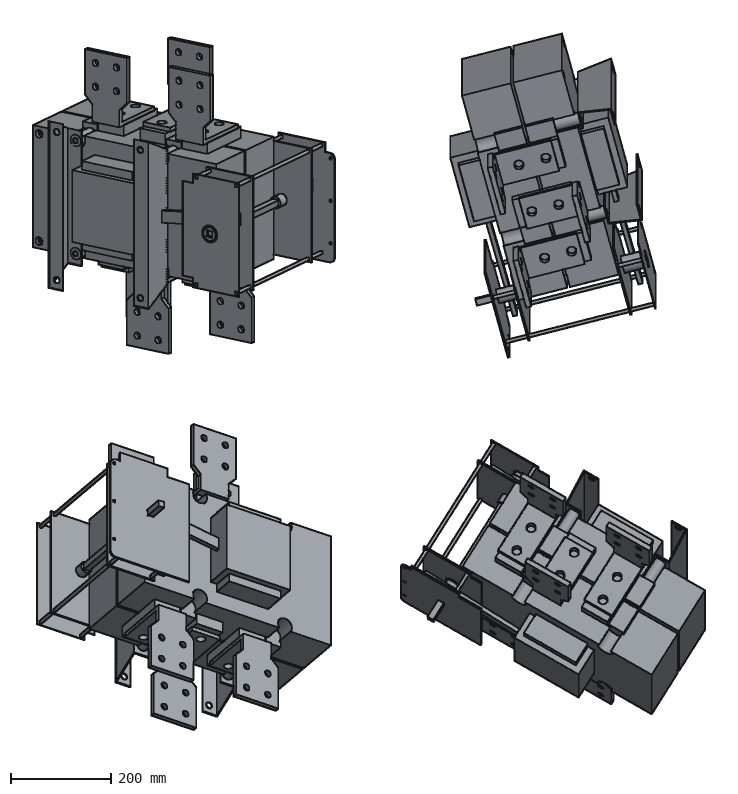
import cadquery as cq
import math


pole_pitch = 100.0
pole_xs = [-pole_pitch, 0, pole_pitch]

case_left = -258.5
case_right = 181.0
case_half_height = 128.5
case_half_depth = 103.0
half_gap = 2.7

corner_hole_inset = 14.5
corner_hole_z = 113.0
screw_head_diameter = 16.0
screw_head_depth = 9.0
screw_hole_diameter = 7.0
screw_hole_depth = 24.0

coil_x = -pole_pitch / 2
coil_width = 149.5
coil_height = 151.0
coil_reach = 163.0
core_width = 120.5
core_height = 187.0
core_reach = 149.5

terminal_top = 301.5
terminal_width = 100.0
terminal_neck_width = 65.0
terminal_shoulder_z = 206.0
terminal_thickness = 10.0
terminal_foot_z = 152.5
terminal_foot_thickness = 9.0
terminal_face_y = 79.0
terminal_foot_end_y = 46.5
busbar_hole_diameter = 13.0
busbar_hole_spacing = 50.0
busbar_hole_z = 252.0
bolt_hole_diameter = 18.5
bolt_hole_y = 28.0
bolt_hole_depth = 18.0

block_width = 60.0
block_half_depth = 60.0

post_xs = [-1.5 * pole_pitch, 0.5 * pole_pitch]
post_z = 119.0
post_diameter = 25.0
post_groove_diameter = 33.0
tile_width = 35.0
tile_top = 141.0

bracket_web_offset = 120.0
bracket_flange = 35.0
bracket_thickness = 2.5
bracket_back_y = -111.5
bracket_front_y = -181.0
bracket_back_half_height = 141.0
bracket_front_half_height = 175.5
bracket_hole_z = 155.5
bracket_hole_diameter = 13.0
post_screw_diameter = 11.0

panel_left = 135.0
panel_right = 270.0
panel_step_x = 159.0
panel_half_height = 119.5
panel_step_half_height = 99.5
panel_thickness = 3.5
cover_front_y = -156.0
cover_thickness = 2.0
cover_hole_diameter = 35.0

back_plate_left = 108.0
back_plate_right = 293.0
back_plate_bottom = -130.0
back_plate_front_y = 151.0
back_plate_corner_radius = 12.0
back_plate_hole_diameter = 5.5
back_plate_hole_x = 284.5
back_plate_hole_spacing = 89.0

rod_diameter = 7.0
rod_z = 113.0
long_rod_x = 262.0
short_rod_x = 167.0
rod_spacer_diameter = 16.0

lever_height = 25.5
lever_thickness = 9.0
lever_y = 129.0
lever_pivot_x = 32.0
lever_end_x = 253.0
lever_angle = math.radians(8.4)

shaft_x = 199.5
shaft_side = 13.0
shaft_twist = 5.0
shaft_back_y = 195.5
shaft_recess = 6.0
hub_diameter = 29.0
collar_diameter = 35.0
sleeve_diameter = 25.0
front_collar_end_y = -146.5
front_sleeve_end_y = -84.0
back_sleeve_end_y = 80.0
back_collar_thickness = 2.0


def block(x0, x1, y0, y1, z0, z1):
    """Rectangular block between the given limits."""
    return cq.Workplane("XY").box(x1 - x0, y1 - y0, z1 - z0, centered=False).translate((x0, y0, z0))


def rod(x, z, diameter, y0, y1):
    """Cylinder along Y between y0 and y1."""
    return cq.Workplane("XZ", origin=(x, y0, z)).circle(diameter / 2).extrude(y0 - y1)


def plate(points, y0, y1):
    """Flat plate with an outline in X and Z, between y0 and y1."""
    return cq.Workplane("XZ", origin=(0, y0, 0)).polyline(points).close().extrude(y0 - y1)


def corner_screw_hole(z):
    """Counterbored screw hole in the front face of the case."""
    x = case_left + corner_hole_inset
    face = -case_half_depth
    head = rod(x, z, screw_head_diameter, face, face + screw_head_depth)
    return head.union(rod(x, z, screw_hole_diameter, face, face + screw_hole_depth))


def split_bar(x, width, reach, height):
    """Bar on the Y and Z origins, in two pieces with the gap of the case between them."""
    x0, x1 = x - width / 2, x + width / 2
    front = block(x0, x1, -reach, -half_gap, -height / 2, height / 2)
    return front.union(front.mirror("XZ"))


def terminal_blade(x):
    """Upright part of a terminal, with its four busbar holes."""
    neck = terminal_neck_width / 2
    wide = terminal_width / 2
    neck_z = terminal_shoulder_z - (wide - neck)
    right_side = [(neck, terminal_foot_z), (neck, neck_z), (wide, terminal_shoulder_z), (wide, terminal_top)]
    outline = right_side + [(-px, pz) for px, pz in reversed(right_side)]
    blade = plate(outline, -terminal_face_y, -terminal_face_y + terminal_thickness)
    blade = blade.translate((x, 0, 0))
    for side in (-1, 1):
        for level in (-1, 1):
            hole_x = x + side * busbar_hole_spacing / 2
            hole_z = busbar_hole_z + level * busbar_hole_spacing / 2
            blade = blade.cut(rod(hole_x, hole_z, busbar_hole_diameter, -terminal_face_y, 0))
    return blade


def terminal(x, blade_at_back):
    """Terminal block with its L-shaped terminal, above the case at one pole."""
    neck = terminal_neck_width / 2
    foot_top = terminal_foot_z + terminal_foot_thickness
    foot = block(x - neck, x + neck, -terminal_face_y, terminal_foot_end_y, terminal_foot_z, foot_top)
    angle = terminal_blade(x).union(foot)
    if blade_at_back:
        angle = angle.mirror("XZ")
    base = block(
        x - block_width / 2, x + block_width / 2,
        -block_half_depth, block_half_depth,
        case_half_height, terminal_foot_z,
    )
    bolt_holes = (
        cq.Workplane("XY", origin=(x, 0, foot_top))
        .pushPoints([(0, -bolt_hole_y), (0, bolt_hole_y)])
        .circle(bolt_hole_diameter / 2)
        .extrude(-bolt_hole_depth)
    )
    return base.union(angle).cut(bolt_holes)


def clamp_tiles(x):
    """Pair of tiles on the top and the bottom of the case at one post, split at the gap."""
    return split_bar(x, tile_width, block_half_depth, 2 * tile_top)


def post_groove(x, z):
    """Round groove along the case edge, in front of and behind the clamp tiles."""
    front = rod(x, z, post_groove_diameter, -case_half_depth, -block_half_depth)
    return front.union(rod(x, z, post_groove_diameter, block_half_depth, case_half_depth))


def post(x, z):
    """Bracket post in the front groove, and the spacer in line with it between the case halves."""
    spacer = rod(x, z, post_groove_diameter, -half_gap, half_gap)
    return rod(x, z, post_diameter, bracket_back_y, -block_half_depth).union(spacer)


def bracket(x_side):
    """Channel with a tapered web on the outer side; x_side is -1 for left and 1 for right."""
    web_x = coil_x + x_side * bracket_web_offset
    flange_x = web_x - x_side * bracket_flange
    x0, x1 = sorted((web_x, flange_x))
    profile = [
        (bracket_back_y, -bracket_back_half_height),
        (bracket_back_y, bracket_back_half_height),
        (bracket_front_y, bracket_front_half_height),
        (bracket_front_y, -bracket_front_half_height),
    ]
    channel = cq.Workplane("YZ", origin=(x0, 0, 0)).polyline(profile).close().extrude(x1 - x0)
    hollow = block(
        x0, x1,
        bracket_front_y + bracket_thickness, bracket_back_y - bracket_thickness,
        -bracket_front_half_height, bracket_front_half_height,
    )
    return channel.cut(hollow.translate((-x_side * bracket_thickness, 0, 0)))


def bracket_holes(x):
    """Mounting holes in the front flange and post screw holes in the back flange."""
    front_end = bracket_front_y + bracket_thickness
    back_start = bracket_back_y - bracket_thickness
    holes = cq.Workplane("XY")
    for side in (-1, 1):
        holes = holes.add(rod(x, side * bracket_hole_z, bracket_hole_diameter, bracket_front_y, front_end))
        holes = holes.add(rod(x, side * post_z, post_screw_diameter, back_start, bracket_back_y))
    return holes.combine()


def panel(y0, y1):
    """Frame panel with a step at its two left corners."""
    upper = [
        (panel_left, panel_step_half_height),
        (panel_step_x, panel_step_half_height),
        (panel_step_x, panel_half_height),
        (panel_right, panel_half_height),
    ]
    return plate(upper + [(x, -z) for x, z in reversed(upper)], y0, y1)


def back_plate():
    """Rounded plate behind the frame, with a raised middle and a row of holes at the right."""
    y0 = back_plate_front_y
    y1 = y0 + panel_thickness
    sheet = block(back_plate_left, back_plate_right, y0, y1, back_plate_bottom, panel_step_half_height)
    sheet = sheet.edges("|Y and >X").fillet(back_plate_corner_radius)
    sheet = sheet.union(block(panel_step_x, panel_right, y0, y1, 0, panel_half_height))
    for row in (-1, 0, 1):
        z = row * back_plate_hole_spacing
        sheet = sheet.cut(rod(back_plate_hole_x, z, back_plate_hole_diameter, y0, y1))
    return sheet


def lever():
    """Straight bar that rises from the coil toward the far end of the frame."""
    half = lever_height / 2
    start_x = coil_x + coil_width / 2
    start_z = math.tan(lever_angle) * (start_x - lever_pivot_x)
    end_z = math.tan(lever_angle) * (lever_end_x - lever_pivot_x)
    outline = [
        (start_x, start_z + half),
        (lever_end_x, end_z + half),
        (lever_end_x, end_z - half),
        (start_x, start_z - half),
    ]
    return plate(outline, lever_y - lever_thickness / 2, lever_y + lever_thickness / 2)


def shaft_bar(y0, y1):
    """Square bar on the shaft axis."""
    bar = cq.Workplane("XZ", origin=(shaft_x, y0, 0)).rect(shaft_side, shaft_side).extrude(y0 - y1)
    return bar.rotate((shaft_x, 0, 0), (shaft_x, 1, 0), shaft_twist)


def hubs():
    """Stepped hubs on the front and the back of the frame."""
    collar_start = case_half_depth + panel_thickness
    front = rod(shaft_x, 0, hub_diameter, cover_front_y, front_collar_end_y)
    front = front.union(rod(shaft_x, 0, collar_diameter, front_collar_end_y, -case_half_depth))
    front = front.union(rod(shaft_x, 0, sleeve_diameter, -case_half_depth, front_sleeve_end_y))
    back = rod(shaft_x, 0, sleeve_diameter, back_sleeve_end_y, collar_start)
    back = back.union(rod(shaft_x, 0, collar_diameter, collar_start, collar_start + back_collar_thickness))
    back = back.union(rod(shaft_x, 0, hub_diameter, collar_start, back_plate_front_y))
    return front.union(back)


def frame():
    """Linkage frame: panels, back plate, rods and hubs."""
    cover_back_y = cover_front_y + cover_thickness
    inner_y = case_half_depth + panel_thickness
    cover = panel(cover_front_y, cover_back_y)
    cover = cover.cut(rod(shaft_x, 0, cover_hole_diameter, cover_front_y, cover_back_y))
    parts = cover.union(panel(-inner_y, -case_half_depth)).union(panel(case_half_depth, inner_y))
    parts = parts.union(back_plate()).union(hubs())
    for z in (-rod_z, rod_z):
        parts = parts.union(rod(long_rod_x, z, rod_diameter, cover_back_y, back_plate_front_y))
        parts = parts.union(rod(short_rod_x, z, rod_diameter, cover_back_y, -case_half_depth))
        parts = parts.union(rod(short_rod_x, z, rod_diameter, case_half_depth, back_plate_front_y))
        parts = parts.union(rod(short_rod_x, z, rod_spacer_diameter, -half_gap, half_gap))
    return parts


def contactor():
    """Everything that the shaft turns in, as one solid with a square passage for the shaft."""
    case_x = (case_left + case_right) / 2
    body = split_bar(case_x, case_right - case_left, case_half_depth, 2 * case_half_height)
    for z in (-corner_hole_z, corner_hole_z):
        body = body.cut(corner_screw_hole(z))
    body = body.union(split_bar(coil_x, coil_width, coil_reach, coil_height))
    body = body.union(split_bar(coil_x, core_width, core_reach, core_height))
    for x in pole_xs:
        blade_at_back = x == 0
        body = body.union(terminal(x, blade_at_back))
        lower = terminal(x, not blade_at_back).mirror("XY")
        body = body.union(lower)
    for x in post_xs:
        body = body.union(clamp_tiles(x))
        for z in (-post_z, post_z):
            body = body.cut(post_groove(x, z)).union(post(x, z))
    for x_side, x in zip((-1, 1), post_xs):
        body = body.union(bracket(x_side).cut(bracket_holes(x)))
    body = body.union(frame()).union(lever()).union(lever().mirror("XZ"))
    return body.cut(shaft_bar(cover_front_y, shaft_back_y))


def drive_shaft():
    """Square shaft, set back in the front hub and passing out through the back plate."""
    return shaft_bar(cover_front_y + shaft_recess, shaft_back_y)


housing = contactor()
shaft = drive_shaft()
result = cq.Compound.makeCompound([housing.val(), shaft.val()])